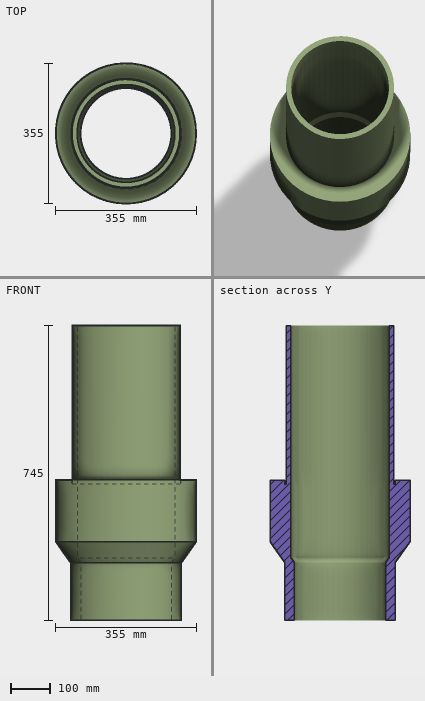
import cadquery as cq

total_length = 745.0
spigot_length = 146.0
shoulder_length = 53.0
collar_length = 156.0
bore_taper_length = 12.5

spigot_diameter = 280.0
collar_diameter = 355.0
pipe_diameter = 273.0
pipe_bore_diameter = 247.0
spigot_bore_diameter = 229.0

collar_mouth_diameter = 277.0
clearance_depth = 10.0

shoulder_top = spigot_length + shoulder_length
collar_top = shoulder_top + collar_length
clearance_floor = collar_top - clearance_depth
bore_taper_top = spigot_length + bore_taper_length


def half_section():
    """Axial section, placed as (x, z) points."""
    diameters_and_levels = [
        (spigot_diameter, 0),
        (spigot_diameter, spigot_length),
        (collar_diameter, shoulder_top),
        (collar_diameter, collar_top),
        (collar_mouth_diameter, collar_top),
        (collar_mouth_diameter, clearance_floor),
        (pipe_diameter, clearance_floor),
        (pipe_diameter, total_length),
        (pipe_bore_diameter, total_length),
        (pipe_bore_diameter, bore_taper_top),
        (spigot_bore_diameter, spigot_length),
        (spigot_bore_diameter, 0),
    ]
    return [(diameter / 2, level) for diameter, level in diameters_and_levels]


def make_fitting():
    """Turn the section through a full circle about the Z axis."""
    section = cq.Workplane("XZ").polyline(half_section()).close()
    return section.revolve(360, (0, 0, 0), (0, 1, 0))


result = make_fitting()